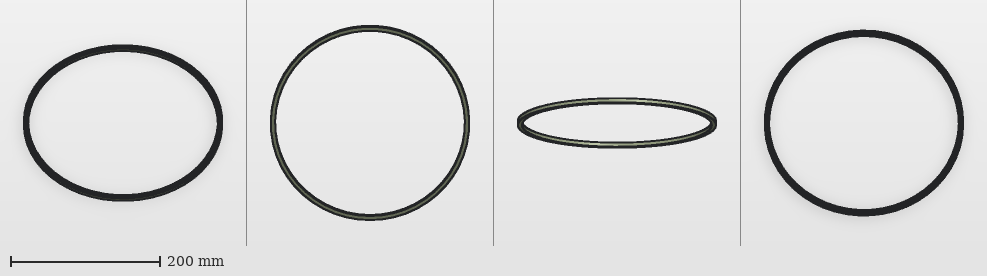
import cadquery as cq

OUTER_DIAMETER = 266.7
SECTION_SIZE = 6.35
EDGE_CHAMFER = 0.635
GROOVE_INNER_RADIUS = 129.26
GROOVE_WIDTH = 1.86
GROOVE_DEPTH = 0.58

OUTER_RADIUS = OUTER_DIAMETER / 2
INNER_RADIUS = OUTER_RADIUS - SECTION_SIZE
GROOVE_OUTER_RADIUS = GROOVE_INNER_RADIUS + GROOVE_WIDTH


def flat_ring(inner_radius, outer_radius, bottom, height):
    """Plain ring of rectangular section around the Z axis."""
    return (
        cq.Workplane("XY")
        .workplane(offset=bottom)
        .circle(outer_radius)
        .circle(inner_radius)
        .extrude(height)
    )


def chamfered_body():
    """Ring body with its top and bottom edges chamfered, inside and outside."""
    body = flat_ring(INNER_RADIUS, OUTER_RADIUS, 0, SECTION_SIZE)
    return body.faces("<Z or >Z").edges().chamfer(EDGE_CHAMFER)


def face_groove():
    """Shallow flat-bottomed groove running round the top face."""
    floor = SECTION_SIZE - GROOVE_DEPTH
    return flat_ring(GROOVE_INNER_RADIUS, GROOVE_OUTER_RADIUS, floor, GROOVE_DEPTH)


result = chamfered_body().cut(face_groove()).rotate((0, 0, 0), (0, 0, 1), 180)